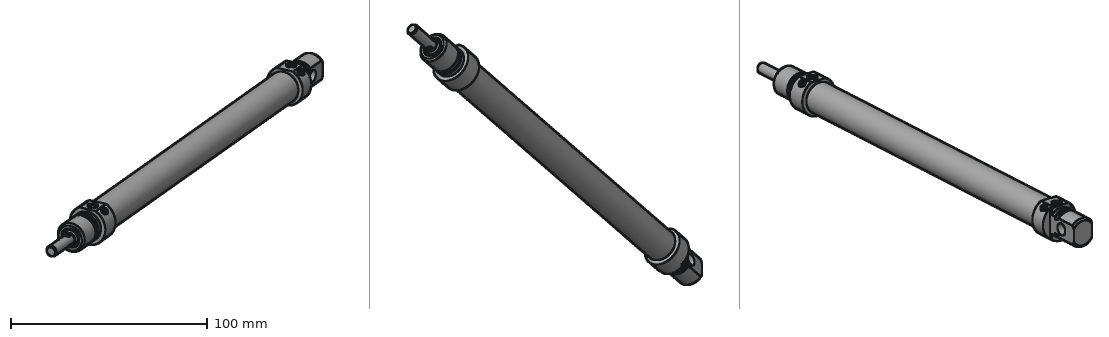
import cadquery as cq
import math

TOTAL_LENGTH = 269.0

FLANGE_DIA = 21.0
FLANGE_LENGTH = 10.5
FLANGE_FLAT_WIDTH = 9.7
THREAD_DIA = 16.0
COLLAR_LENGTH = 2.5
GROOVE_LENGTH = 3.0
GROOVE_DEPTH = 0.8
GROOVE_TAPER = 0.8

REAR_FLANGE_Y = 250.7
EYE_WIDTH = 11.8
EYE_FLAT_LENGTH = 20.0
EYE_CHAMFER = 1.0
EYE_HOLE_DIA = 6.5
EYE_HOLE_SETBACK = 10.5
REAR_PORT_SETBACK = 3.8

FRONT_FLANGE_Y = 37.5
NOSE_Y = 19.6
NOSE_CHAMFER = 1.0
NOSE_RECESS_DIA = 10.5
NOSE_RECESS_FLOOR_DIA = 9.1
NOSE_RECESS_DEPTH = 0.8
FRONT_PORT_SETBACK = 5.5

LIP_OUTER_DIA = 8.0
LIP_TIP_DIA = 6.5
LIP_HEIGHT = 0.8

PORT_DIA = 4.0
PORT_CHAMFER_DIA = 5.5
PORT_DEPTH = 4.0

SCREW_SETBACK = 5.6
SCREW_ANGLE = 49.0
SCREW_SEAT_DIA = 4.0
SCREW_HEAD_DIA = 3.5
SCREW_HEAD_SINK = 0.5
SCREW_LENGTH = 2.7
SCREW_SOCKET_DIA = 1.75
SCREW_SOCKET_DEPTH = 1.0
DRILLING_ANGLE = 215.0
DRILLING_DIA = 2.0
DRILLING_DEPTH = 2.2

BARREL_DIA = 17.2
BARREL_END_ROUND = 1.5

ROD_DIA = 6.0
ROD_CHAMFER = 0.5
ROD_FLAT_WIDTH = 5.0
ROD_FLAT_START = 15.5
ROD_FLAT_LENGTH = 2.2

FLANGE_RADIUS = FLANGE_DIA / 2
FLANGE_FLAT_HEIGHT = math.sqrt(FLANGE_RADIUS**2 - (FLANGE_FLAT_WIDTH / 2) ** 2)
FRONT_BARREL_Y = FRONT_FLANGE_Y + FLANGE_LENGTH
REAR_BARREL_Y = REAR_FLANGE_Y - FLANGE_LENGTH


def cylinder_y(dia, y_start, y_end):
    """Cylinder on the Y axis from y_start up to y_end."""
    plane = cq.Workplane("XZ", origin=(0, y_start, 0))
    return plane.circle(dia / 2).extrude(y_start - y_end)


def radial_cylinder(dia, y, angle, r_inner, r_outer):
    """Cylinder along a ray from the Y axis, between two radii, at an angle from +X towards +Z."""
    ray = cq.Vector(math.cos(math.radians(angle)), 0, math.sin(math.radians(angle)))
    start = ray * r_inner + cq.Vector(0, y, 0)
    return cq.Workplane(obj=cq.Solid.makeCylinder(dia / 2, r_outer - r_inner, start, ray))


def threaded_end(flange_y, end_y, chamfer):
    """Grooved and chamfered end of a cap, from its flange face out to end_y."""
    out = math.copysign(1, end_y - flange_y)
    radius = THREAD_DIA / 2
    root = radius - GROOVE_DEPTH
    groove_start = flange_y + out * COLLAR_LENGTH
    groove_end = groove_start + out * GROOVE_LENGTH
    profile = [
        (0, flange_y),
        (radius, flange_y),
        (radius, groove_start),
        (root, groove_start),
        (root, groove_end - out * GROOVE_TAPER),
        (radius, groove_end),
        (radius, end_y - out * chamfer),
        (radius - chamfer, end_y),
        (0, end_y),
    ]
    return cq.Workplane("XY").polyline(profile).close().revolve(360, (0, 0), (0, 1))


def flange(y_start):
    """Round flange with a flat port seat on top."""
    disc = cylinder_y(FLANGE_DIA, y_start, y_start + FLANGE_LENGTH)
    above_seat = (
        cq.Workplane("XY", origin=(0, y_start + FLANGE_LENGTH / 2, FLANGE_FLAT_HEIGHT))
        .rect(FLANGE_DIA, FLANGE_LENGTH)
        .extrude(FLANGE_RADIUS)
    )
    return disc.cut(above_seat)


def port_tool(y):
    """Air port with a countersunk mouth, sunk into the port seat."""
    sink = (PORT_CHAMFER_DIA - PORT_DIA) / 2
    seat = cq.Workplane("XY", origin=(0, y, FLANGE_FLAT_HEIGHT))
    bore = seat.circle(PORT_DIA / 2).extrude(-PORT_DEPTH)
    mouth = seat.circle(PORT_CHAMFER_DIA / 2).workplane(offset=-sink).circle(PORT_DIA / 2).loft()
    return bore.union(mouth)


def cut_flange_details(cap, port_y, screw_y):
    """Cuts the port, the screw seat and the small drilling of one cap."""
    screw_bottom = FLANGE_RADIUS - SCREW_HEAD_SINK - SCREW_LENGTH
    screw_top = FLANGE_RADIUS - SCREW_HEAD_SINK
    cap = cap.cut(port_tool(port_y))
    cap = cap.cut(radial_cylinder(SCREW_SEAT_DIA, screw_y, SCREW_ANGLE, screw_top, FLANGE_DIA))
    cap = cap.cut(radial_cylinder(SCREW_HEAD_DIA, screw_y, SCREW_ANGLE, screw_bottom, screw_top))
    drilling_bottom = FLANGE_RADIUS - DRILLING_DEPTH
    return cap.cut(
        radial_cylinder(DRILLING_DIA, screw_y, DRILLING_ANGLE, drilling_bottom, FLANGE_DIA)
    )


def make_rear_cap():
    cap = flange(REAR_BARREL_Y).union(threaded_end(REAR_FLANGE_Y, TOTAL_LENGTH, EYE_CHAMFER))

    flat_centre_y = TOTAL_LENGTH - EYE_FLAT_LENGTH / 2
    for side in (-1, 1):
        beside_eye = cq.Workplane("XY").box(FLANGE_DIA, EYE_FLAT_LENGTH, FLANGE_DIA)
        cap = cap.cut(beside_eye.translate((side * (EYE_WIDTH + FLANGE_DIA) / 2, flat_centre_y, 0)))

    eye_hole = (
        cq.Workplane("YZ", origin=(0, TOTAL_LENGTH - EYE_HOLE_SETBACK, 0))
        .circle(EYE_HOLE_DIA / 2)
        .extrude(EYE_WIDTH, both=True)
    )
    cap = cap.cut(eye_hole)
    return cut_flange_details(cap, REAR_FLANGE_Y - REAR_PORT_SETBACK, REAR_FLANGE_Y - SCREW_SETBACK)


def make_front_cap():
    cap = flange(FRONT_FLANGE_Y).union(threaded_end(FRONT_FLANGE_Y, NOSE_Y, NOSE_CHAMFER))

    recess_floor = NOSE_Y + NOSE_RECESS_DEPTH
    recess = cq.Workplane(
        obj=cq.Solid.makeCone(
            NOSE_RECESS_DIA / 2, NOSE_RECESS_FLOOR_DIA / 2, NOSE_RECESS_DEPTH,
            cq.Vector(0, NOSE_Y, 0), cq.Vector(0, 1, 0),
        )
    )
    lip = cq.Workplane(
        obj=cq.Solid.makeCone(
            LIP_OUTER_DIA / 2, LIP_TIP_DIA / 2, NOSE_RECESS_DEPTH + LIP_HEIGHT,
            cq.Vector(0, recess_floor, 0), cq.Vector(0, -1, 0),
        )
    )
    cap = cap.cut(recess).union(lip)

    cap = cap.cut(cylinder_y(ROD_DIA, 0, FRONT_BARREL_Y))
    return cut_flange_details(cap, FRONT_FLANGE_Y + FRONT_PORT_SETBACK, FRONT_FLANGE_Y + SCREW_SETBACK)


def make_barrel():
    barrel = cylinder_y(BARREL_DIA, FRONT_BARREL_Y, REAR_BARREL_Y)
    return barrel.edges().fillet(BARREL_END_ROUND)


def make_rod():
    rod = cylinder_y(ROD_DIA, 0, FRONT_BARREL_Y).faces("<Y").chamfer(ROD_CHAMFER)
    for side in (-1, 1):
        beside_flat = cq.Workplane("XY").box(ROD_DIA, ROD_FLAT_LENGTH, ROD_DIA)
        offset = side * (ROD_FLAT_WIDTH + ROD_DIA) / 2
        rod = rod.cut(beside_flat.translate((0, ROD_FLAT_START + ROD_FLAT_LENGTH / 2, offset)))
    return rod


def make_screw(y):
    """Cushion screw with a round socket, sunk below the flange surface."""
    top = FLANGE_RADIUS - SCREW_HEAD_SINK
    body = radial_cylinder(SCREW_HEAD_DIA, y, SCREW_ANGLE, top - SCREW_LENGTH, top)
    return body.cut(radial_cylinder(SCREW_SOCKET_DIA, y, SCREW_ANGLE, top - SCREW_SOCKET_DEPTH, top))


rear_cap = make_rear_cap()
front_cap = make_front_cap()
barrel = make_barrel()
rod = make_rod()
screws = [make_screw(y) for y in (REAR_FLANGE_Y - SCREW_SETBACK, FRONT_FLANGE_Y + SCREW_SETBACK)]

result = cq.Compound.makeCompound(
    [rear_cap.val(), front_cap.val(), barrel.val(), rod.val()] + [screw.val() for screw in screws]
)